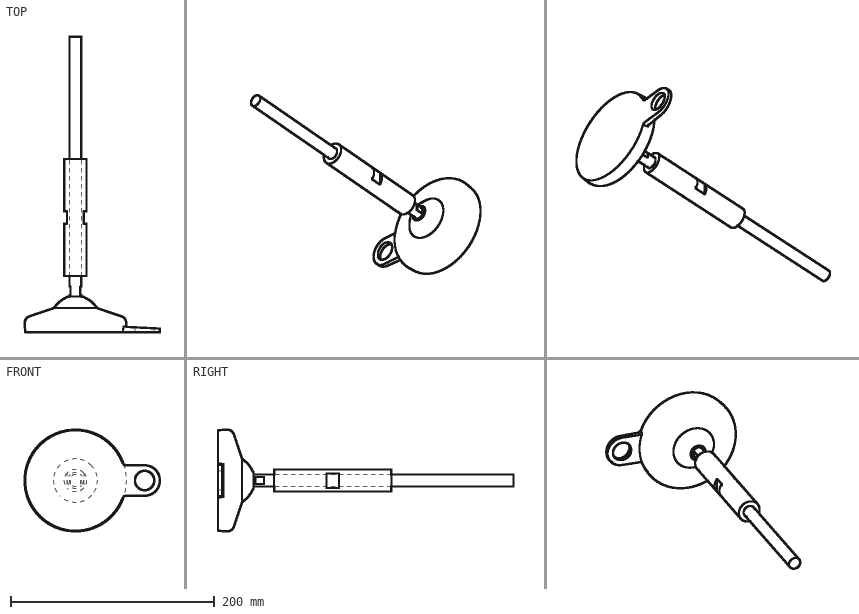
import cadquery as cq
import math

TOTAL_LENGTH = 290.0

RIM_RADIUS = 50.02
BASE_RADIUS = 49.3
RIM_LOW = 6.5
RIM_HIGH = 9.0
SHOULDER_FILLET = 7.2
CONE_ANGLE = math.radians(19)
WAIST_RADIUS = 21.5
WAIST_HEIGHT = 23.8
DOME_LOW_RADIUS = 20.0
DOME_LOW_HEIGHT = 25.5
DOME_MID_RADIUS = 15.7
DOME_MID_HEIGHT = 30.2
DOME_TOP_RADIUS = 10.2
DOME_TOP_HEIGHT = 33.5
HUB_RADIUS = 7.8
HUB_HEIGHT = 35.0

TAB_RADIUS = 15.0
TAB_CENTRE_X = 68.0
TAB_HOLE_DIAMETER = 18.8
TAB_FILLET = 4.4
TAB_ROOT_HEIGHT = 5.5
TAB_END_HEIGHT = 3.8

SPINDLE_DIAMETER = 12.0
SPINDLE_FLAT_WIDTH = 10.0
SPINDLE_FLAT_START = 36.8
SPINDLE_FLAT_LENGTH = 8.0

SLEEVE_DIAMETER = 22.0
SLEEVE_START = 55.0
SLEEVE_LENGTH = 115.0
SLEEVE_FLAT_WIDTH = 16.8
SLEEVE_FLAT_LENGTH = 12.2


def cylinder(diameter, start, length):
    """Cylinder along +Y whose lower end is at Y = start."""
    return cq.Workplane("XZ", origin=(0, start, 0)).circle(diameter / 2).extrude(-length)


def cut_wrench_flats(body, diameter, across_flats, start, length):
    """Cut two opposite flats, facing +X and -X, into a round body."""
    for side in (-1, 1):
        cutter = cq.Workplane("XY").box(diameter, length, diameter + 3)
        offset = side * (across_flats + diameter) / 2
        body = body.cut(cutter.translate((offset, start + length / 2, 0)))
    return body


def make_disc():
    """Revolved foot: tapered rim, rounded shoulder, cone and dome."""
    arc_centre_radius = RIM_RADIUS - SHOULDER_FILLET

    def shoulder_point(angle):
        return (arc_centre_radius + SHOULDER_FILLET * math.cos(angle),
                RIM_HIGH + SHOULDER_FILLET * math.sin(angle))

    arc_end = math.pi / 2 - CONE_ANGLE
    profile = (
        cq.Workplane("XY")
        .lineTo(BASE_RADIUS, 0)
        .lineTo(RIM_RADIUS, RIM_LOW)
        .lineTo(RIM_RADIUS, RIM_HIGH)
        .threePointArc(shoulder_point(arc_end / 2), shoulder_point(arc_end))
        .lineTo(WAIST_RADIUS, WAIST_HEIGHT)
        .lineTo(DOME_LOW_RADIUS, DOME_LOW_HEIGHT)
        .threePointArc((DOME_MID_RADIUS, DOME_MID_HEIGHT), (DOME_TOP_RADIUS, DOME_TOP_HEIGHT))
        .lineTo(HUB_RADIUS, HUB_HEIGHT)
        .lineTo(0, HUB_HEIGHT)
        .close()
    )
    return profile.revolve(360, (0, 0, 0), (0, 1, 0))


def make_tab():
    """Round-ended tab with filleted root corners and a sloping upper face."""
    fillet_z = TAB_RADIUS + TAB_FILLET
    fillet_x = math.sqrt((BASE_RADIUS + TAB_FILLET) ** 2 - fillet_z ** 2)
    touch_ratio = BASE_RADIUS / (BASE_RADIUS + TAB_FILLET)
    touch_x = fillet_x * touch_ratio
    touch_z = fillet_z * touch_ratio
    mid_angle = (math.atan2(-fillet_z, -fillet_x) - math.pi / 2) / 2
    mid_x = fillet_x + TAB_FILLET * math.cos(mid_angle)
    mid_z = fillet_z + TAB_FILLET * math.sin(mid_angle)
    tab_end = TAB_CENTRE_X + TAB_RADIUS

    plan = (
        cq.Workplane("XZ")
        .lineTo(touch_x, -touch_z)
        .threePointArc((mid_x, -mid_z), (fillet_x, -TAB_RADIUS))
        .lineTo(TAB_CENTRE_X, -TAB_RADIUS)
        .threePointArc((tab_end, 0), (TAB_CENTRE_X, TAB_RADIUS))
        .lineTo(fillet_x, TAB_RADIUS)
        .threePointArc((mid_x, mid_z), (touch_x, touch_z))
        .close()
        .extrude(-RIM_LOW)
    )
    wedge = (
        cq.Workplane("XY")
        .lineTo(tab_end, 0)
        .lineTo(tab_end, TAB_END_HEIGHT)
        .lineTo(BASE_RADIUS, TAB_ROOT_HEIGHT)
        .lineTo(0, TAB_ROOT_HEIGHT)
        .close()
        .extrude(RIM_RADIUS, both=True)
    )
    hole = cylinder(TAB_HOLE_DIAMETER, 0, RIM_LOW).translate((TAB_CENTRE_X, 0, 0))
    return plan.intersect(wedge).cut(hole)


def make_foot():
    return make_disc().union(make_tab())


def make_spindle():
    """Rod standing on the hub and running through the sleeve."""
    rod = cylinder(SPINDLE_DIAMETER, HUB_HEIGHT, TOTAL_LENGTH - HUB_HEIGHT)
    return cut_wrench_flats(
        rod, SPINDLE_DIAMETER, SPINDLE_FLAT_WIDTH, SPINDLE_FLAT_START, SPINDLE_FLAT_LENGTH
    )


def make_sleeve():
    """Tube around the spindle with wrench flats at mid length."""
    tube = cylinder(SLEEVE_DIAMETER, SLEEVE_START, SLEEVE_LENGTH)
    tube = tube.cut(cylinder(SPINDLE_DIAMETER, SLEEVE_START, SLEEVE_LENGTH))
    flat_start = SLEEVE_START + (SLEEVE_LENGTH - SLEEVE_FLAT_LENGTH) / 2
    return cut_wrench_flats(tube, SLEEVE_DIAMETER, SLEEVE_FLAT_WIDTH, flat_start, SLEEVE_FLAT_LENGTH)


foot = make_foot()
spindle = make_spindle()
sleeve = make_sleeve()

result = cq.Compound.makeCompound([body.solids().val() for body in (foot, spindle, sleeve)])